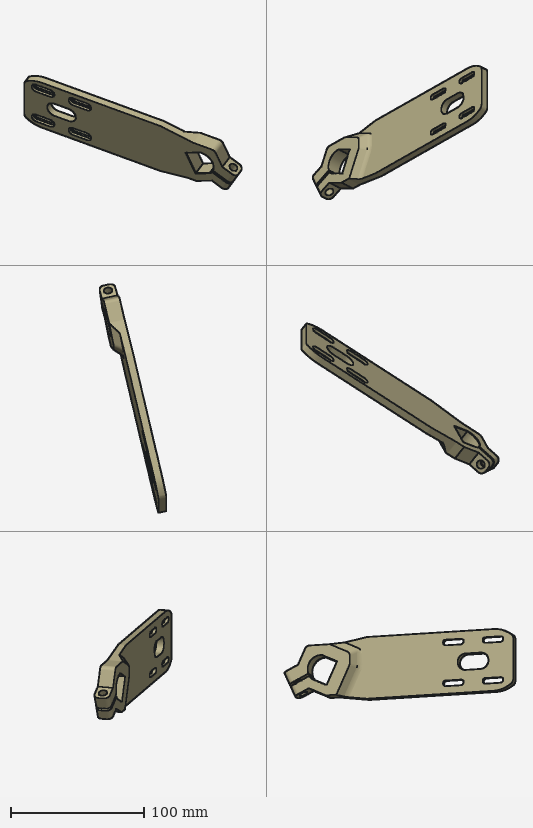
import cadquery as cq
import math

LENGTH = 179.7
WIDTH = 47.3
PLATE_THICKNESS = 6.1
HEAD_THICKNESS = 12.0

END_ARC_RADIUS = 22.6
END_ARC_START_X = 15.3
END_CORNER_RADIUS = 4.0

TAPER_START_X = 115.3
UPPER_TAPER_END_X = 143.4
LOWER_TAPER_END_X = 138.9
HEAD_TOP_Z = 18.7
HEAD_BOTTOM_Z = -20.3
TAPER_ROUNDING = 5.0
HEAD_CORNER_RADIUS = 4.1

CLAMP_ANGLE = 25.0
BORE_RADIUS = 10.2
SQUARE_HALF_WIDTH = 9.7
BORE_CHAMFER = 0.4
LUG_REACH = 27.5
LUG_ROOT = 14.5
UPPER_LUG_SIDE = 11.1
LOWER_LUG_SIDE = 9.3
LUG_END_ROUNDING = 4.0
CLAMP_SLIT = 2.0
BOLT_DIAMETER = 6.3
BOLT_END_DISTANCE = 6.1

PAD_UPPER_OFFSET = 19.4
PAD_LOWER_OFFSET = 20.1
PAD_FRONT_OFFSET = 23.0
PAD_FLANK_ANGLE = 45.0
PAD_ROUNDING = 5.0

SLOT_PATTERN_X = 31.6
SLOT_PITCH = 31.3
SLOT_STRAIGHT = 11.9
SLOT_WIDTH = 4.3
SLOT_SINK_WIDTH = 7.2
SLOT_SINK_DEPTH = 2.5
SLOT_FLOOR_DROP = 0.5
CENTER_SLOT_LENGTH = 24.3
CENTER_SLOT_WIDTH = 12.5

FAR = 143.7

COS = math.cos(math.radians(CLAMP_ANGLE))
SIN = math.sin(math.radians(CLAMP_ANGLE))
BORE_X = LENGTH - LUG_REACH * COS - UPPER_LUG_SIDE * SIN
BORE_Z = 0.5


def lug_point(along, across):
    """X, Z of a point given along and across the lugs, from the bore centre."""
    return (BORE_X + along * COS + across * SIN, BORE_Z - along * SIN + across * COS)


def bore_point(along, across):
    """X, Z of a point given in the bore's own turned frame."""
    return (BORE_X + along * COS - across * SIN, BORE_Z + along * SIN + across * COS)


def wall_plane(y):
    """Plane parallel to the plate at height y, with local axes X and Z."""
    return cq.Workplane("XZ", origin=(0, y, 0))


def nearest(x, y, z):
    """Selector for the edge or face whose centre is nearest to a point."""
    return cq.selectors.NearestToPointSelector((x, y, z))


def round_upright_edges(body, radius, places):
    """Round the edges that run through the head thickness at the given X, Z places."""
    for x, z in places:
        body = body.edges(nearest(x, HEAD_THICKNESS / 2, z)).fillet(radius)
    return body


def outline_prism():
    """Outer outline of the part, through the full head thickness."""
    half = WIDTH / 2
    arc_center_z = half - END_ARC_RADIUS
    end_z = arc_center_z + math.sqrt(END_ARC_RADIUS**2 - END_ARC_START_X**2)
    mid_angle = (math.pi / 2 + math.atan2(end_z - arc_center_z, -END_ARC_START_X)) / 2
    mid_x = END_ARC_START_X + END_ARC_RADIUS * math.cos(mid_angle)
    mid_z = arc_center_z + END_ARC_RADIUS * math.sin(mid_angle)

    upper_root = lug_point(LUG_ROOT, UPPER_LUG_SIDE)
    lower_root = lug_point(LUG_ROOT, -LOWER_LUG_SIDE)
    head_corner_x = upper_root[0] - (HEAD_TOP_Z - upper_root[1]) * SIN / COS
    heel_x = lower_root[0] - (lower_root[1] - HEAD_BOTTOM_Z) * COS / SIN

    outline = (
        wall_plane(0)
        .moveTo(0, end_z)
        .threePointArc((mid_x, mid_z), (END_ARC_START_X, half))
        .lineTo(TAPER_START_X, half)
        .lineTo(UPPER_TAPER_END_X, HEAD_TOP_Z)
        .lineTo(head_corner_x, HEAD_TOP_Z)
        .lineTo(*upper_root)
        .lineTo(*lug_point(LUG_REACH, UPPER_LUG_SIDE))
        .lineTo(*lug_point(LUG_REACH, -LOWER_LUG_SIDE))
        .lineTo(*lower_root)
        .lineTo(heel_x, HEAD_BOTTOM_Z)
        .lineTo(LOWER_TAPER_END_X, HEAD_BOTTOM_Z)
        .lineTo(TAPER_START_X, -half)
        .lineTo(END_ARC_START_X, -half)
        .threePointArc((mid_x, -mid_z), (0, -end_z))
        .close()
        .extrude(-HEAD_THICKNESS)
    )

    tapers = [
        (TAPER_START_X, half),
        (TAPER_START_X, -half),
        (UPPER_TAPER_END_X, HEAD_TOP_Z),
        (LOWER_TAPER_END_X, HEAD_BOTTOM_Z),
    ]
    outline = round_upright_edges(outline, END_CORNER_RADIUS, [(0, end_z), (0, -end_z)])
    outline = round_upright_edges(outline, TAPER_ROUNDING, tapers)
    return round_upright_edges(outline, HEAD_CORNER_RADIUS, [(head_corner_x, HEAD_TOP_Z)])


def pad_front_corners(growth):
    """Ends of the pad's upright front edge, with the pad grown outward on all sides."""
    front = PAD_FRONT_OFFSET + growth
    upper_z = (PAD_UPPER_OFFSET + growth - front * SIN) / COS
    lower_z = (front * COS - PAD_LOWER_OFFSET - growth) / SIN
    return (BORE_X - front, BORE_Z + upper_z), (BORE_X - front, BORE_Z + lower_z)


def pad_section(growth):
    """Corners of the pad, which runs on past the head on its far sides."""
    lower_end = bore_point(-PAD_LOWER_OFFSET - growth, -FAR)
    upper_end = bore_point(FAR, PAD_UPPER_OFFSET + growth)
    return [*pad_front_corners(growth), lower_end, bore_point(FAR, -FAR), upper_end]


def stepped_block():
    """Oversized plate with the sloped pad on it, its front and lower feet blended in."""
    plate = wall_plane(0).rect(4 * FAR, 4 * FAR).extrude(-PLATE_THICKNESS)
    rise = HEAD_THICKNESS - PLATE_THICKNESS
    foot_growth = rise / math.tan(math.radians(PAD_FLANK_ANGLE))
    pad = (
        wall_plane(HEAD_THICKNESS)
        .polyline(pad_section(0))
        .close()
        .workplane(offset=rise)
        .polyline(pad_section(foot_growth))
        .close()
        .loft(ruled=True)
    )
    upper_corner, lower_corner = [
        nearest(x, PLATE_THICKNESS + rise / 2, z)
        for x, z in pad_front_corners(foot_growth / 2)
    ]
    (foot_x, upper_z), (_, lower_z) = pad_front_corners(foot_growth)
    foot = nearest(foot_x, PLATE_THICKNESS, (upper_z + lower_z) / 2)
    block = plate.union(pad.edges(lower_corner).fillet(PAD_ROUNDING))
    return block.edges(foot).fillet(PAD_ROUNDING).edges(upper_corner).fillet(PAD_ROUNDING)


def bore_cutter(growth, depth, taper=0):
    """Round bore whose far half is opened out to a square, narrower than the bore."""
    radius = BORE_RADIUS + growth
    half = SQUARE_HALF_WIDTH + growth
    chord_end = math.sqrt(radius**2 - half**2)
    return (
        wall_plane(0)
        .moveTo(*bore_point(chord_end, half))
        .lineTo(*bore_point(-half, half))
        .lineTo(*bore_point(-half, -half))
        .lineTo(*bore_point(chord_end, -half))
        .threePointArc(bore_point(radius, 0), bore_point(chord_end, half))
        .close()
        .extrude(-depth, taper=taper)
    )


def clamp_slit_cutter():
    """Slit from the bore out between the lugs."""
    half_slit = CLAMP_SLIT / 2
    corners = [
        lug_point(along, across)
        for along, across in [(0, half_slit), (FAR, half_slit), (FAR, -half_slit), (0, -half_slit)]
    ]
    return wall_plane(0).polyline(corners).close().extrude(-HEAD_THICKNESS)


def clamp_bolt_cutter():
    """Bolt hole across both lugs."""
    bolt_x, bolt_z = lug_point(LUG_REACH - BOLT_END_DISTANCE, -2 * LOWER_LUG_SIDE)
    start = cq.Plane((bolt_x, HEAD_THICKNESS / 2, bolt_z), xDir=(0, 1, 0), normal=(SIN, 0, COS))
    return cq.Workplane(start).circle(BOLT_DIAMETER / 2).extrude(4 * LOWER_LUG_SIDE)


def slot_cutters():
    """Four counterbored slots with sloping counterbore floors, around a plain centre slot."""
    floor_run = (SLOT_SINK_WIDTH - SLOT_WIDTH) / 2
    floor_taper = math.degrees(math.atan2(floor_run, SLOT_FLOOR_DROP))

    def slots(y, width, depth, taper=0):
        places = wall_plane(y).center(SLOT_PATTERN_X, 0).rarray(SLOT_PITCH, SLOT_PITCH, 2, 2)
        return places.slot2D(SLOT_STRAIGHT + width, width).extrude(-depth, taper=taper)

    center = (
        wall_plane(0)
        .center(SLOT_PATTERN_X, 0)
        .slot2D(CENTER_SLOT_LENGTH, CENTER_SLOT_WIDTH)
        .extrude(-PLATE_THICKNESS)
    )
    return (
        slots(0, SLOT_WIDTH, PLATE_THICKNESS)
        .union(slots(0, SLOT_SINK_WIDTH, SLOT_SINK_DEPTH))
        .union(slots(SLOT_SINK_DEPTH, SLOT_SINK_WIDTH, SLOT_FLOOR_DROP, floor_taper))
        .union(center)
    )


body = outline_prism().intersect(stepped_block())

lug_end_x, lug_end_z = lug_point(LUG_REACH, 0)
lug_end_face = nearest(lug_end_x, HEAD_THICKNESS / 2, lug_end_z)
body = body.faces(lug_end_face).edges("#Y").fillet(LUG_END_ROUNDING)

body = body.cut(bore_cutter(0, HEAD_THICKNESS))
body = body.cut(bore_cutter(BORE_CHAMFER, BORE_CHAMFER, taper=45))

body = body.cut(clamp_slit_cutter())
body = body.cut(clamp_bolt_cutter())
result = body.cut(slot_cutters())